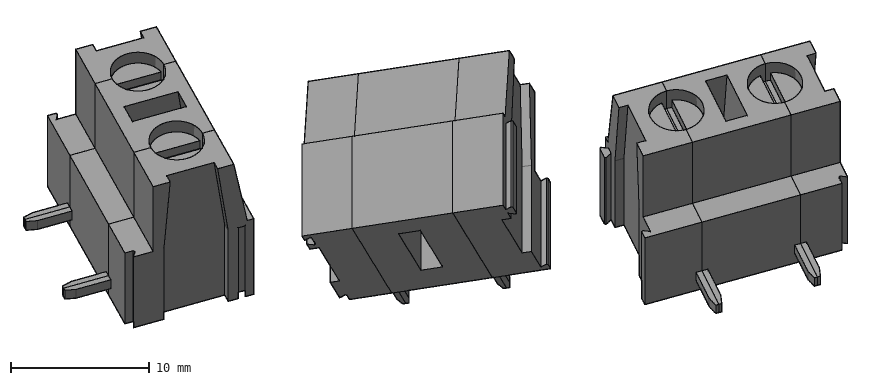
import cadquery as cq


POLE_COUNT = 2
PITCH = 7.62
ROW_LENGTH = POLE_COUNT * PITCH
POLE_CENTERS = [(index + 0.5) * PITCH for index in range(POLE_COUNT)]

DEPTH = 9.8
HEIGHT = 13.8
STEP_HEIGHT = 7.2
STEP_DEPTH = 1.96
LEDGE_HEIGHT = 7.7
LEDGE_DEPTH = 0.5
TOP_BACK_Y = 8.25

RECESS_DEPTH = 0.7
RECESS_BOTTOM_Y = (2.8, 7.81)
RECESS_TOP_Y = (3.3, 6.99)

LOCK_REACH = 0.6
LOCK_FLARE = 0.29
LOCK_CHAMFER_X = 0.11
LOCK_CHAMFER_Y = 0.08
TONGUE_CENTER_Y = 8.87
TONGUE_NECK_WIDTH = 0.52
HOOK_ROOT_Y = 0.45

SCREW_DIAMETER = 4.0
SCREW_CENTER_Y = 5.3
SCREW_SINK = 1.11
SLOT_WIDTH = 0.79
SLOT_DEPTH = SLOT_WIDTH

PASSAGE_WIDTH = 1.65
PASSAGE_MARGIN = 0.25

PIN_LENGTH = 3.5
PIN_SIZE = 0.9
PIN_BASE_HEIGHT = 1.06
PIN_TIP_WIDTH = 0.48
PIN_TIP_LENGTH = 0.79


def make_block():
    """Stepped block with a sloping back, extruded along the row of poles."""
    profile = [
        (0, 0),
        (DEPTH, 0),
        (DEPTH, LEDGE_HEIGHT),
        (DEPTH - LEDGE_DEPTH, LEDGE_HEIGHT),
        (TOP_BACK_Y, HEIGHT),
        (STEP_DEPTH, HEIGHT),
        (STEP_DEPTH, STEP_HEIGHT),
        (0, STEP_HEIGHT),
    ]
    return cq.Workplane("YZ").polyline(profile).close().extrude(ROW_LENGTH)


def make_tapered_slot(start_x, width, margin=0):
    """Full-height cutter that narrows above the step, larger than an end recess by margin at both Y ends."""
    bottom_front, bottom_back = RECESS_BOTTOM_Y
    top_front, top_back = RECESS_TOP_Y
    outline = [
        (bottom_front - margin, 0),
        (bottom_back + margin, 0),
        (bottom_back + margin, STEP_HEIGHT),
        (top_back + margin, HEIGHT),
        (top_front - margin, HEIGHT),
        (bottom_front - margin, STEP_HEIGHT),
    ]
    return cq.Workplane("YZ", origin=(start_x, 0, 0)).polyline(outline).close().extrude(width)


def flared_edge(root_x, root_y, side):
    """Points of a flank that flares from root_x toward -X and ends in a chamfer; side is +1 or -1 along Y."""
    outer_x = root_x - LOCK_REACH
    peak_y = root_y + side * LOCK_FLARE
    return [
        (root_x, root_y),
        (outer_x + LOCK_CHAMFER_X, peak_y),
        (outer_x, peak_y - side * LOCK_CHAMFER_Y),
    ]


def make_tongue(root_x):
    """Dovetail tongue that widens toward -X from its neck at root_x."""
    back_flank = flared_edge(root_x, TONGUE_CENTER_Y + TONGUE_NECK_WIDTH / 2, 1)
    front_flank = flared_edge(root_x, TONGUE_CENTER_Y - TONGUE_NECK_WIDTH / 2, -1)
    outline = back_flank + front_flank[::-1]
    return cq.Workplane("XY").polyline(outline).close().extrude(STEP_HEIGHT)


def make_hook(root_x):
    """Half-dovetail hook along the pin face, reaching toward -X from root_x."""
    outline = flared_edge(root_x, HOOK_ROOT_Y, 1) + [(root_x - LOCK_REACH, 0), (root_x, 0)]
    return cq.Workplane("XY").polyline(outline).close().extrude(STEP_HEIGHT)


def make_screw_well(center_x):
    """Cutter for a round well and the screwdriver slot in its floor."""
    floor_z = HEIGHT - SCREW_SINK
    axis_base = cq.Workplane("XY", origin=(center_x, SCREW_CENTER_Y, floor_z))
    well = axis_base.circle(SCREW_DIAMETER / 2).extrude(SCREW_SINK)
    slot_bar = axis_base.rect(SLOT_WIDTH, SCREW_DIAMETER).extrude(-SLOT_DEPTH)
    slot = axis_base.circle(SCREW_DIAMETER / 2).extrude(-SLOT_DEPTH).intersect(slot_bar)
    return well.union(slot)


def make_pin(center_x):
    """Square pin with a tip that tapers in width."""
    half_width = PIN_SIZE / 2
    half_tip = PIN_TIP_WIDTH / 2
    taper_start_y = PIN_TIP_LENGTH - PIN_LENGTH
    outline = [
        (-half_width, 0),
        (-half_width, taper_start_y),
        (-half_tip, -PIN_LENGTH),
        (half_tip, -PIN_LENGTH),
        (half_width, taper_start_y),
        (half_width, 0),
    ]
    return cq.Workplane("XY", origin=(center_x, 0, PIN_BASE_HEIGHT)).polyline(outline).close().extrude(PIN_SIZE)


def make_terminal_row():
    """Complete row, before it is divided into segments."""
    row = make_block()
    for start_x in (0, ROW_LENGTH - RECESS_DEPTH):
        row = row.cut(make_tapered_slot(start_x, RECESS_DEPTH))

    row = row.cut(make_tongue(ROW_LENGTH)).cut(make_hook(ROW_LENGTH))
    row = row.union(make_tongue(0)).union(make_hook(0))

    for center_x in POLE_CENTERS:
        row = row.cut(make_screw_well(center_x)).union(make_pin(center_x))
    for left_x, right_x in zip(POLE_CENTERS, POLE_CENTERS[1:]):
        passage_start_x = (left_x + right_x - PASSAGE_WIDTH) / 2
        row = row.cut(make_tapered_slot(passage_start_x, PASSAGE_WIDTH, PASSAGE_MARGIN))
    return row


def cut_segment(row, start_x, end_x):
    """Part of the row between two planes across X."""
    slab = (
        cq.Workplane("XY")
        .box(end_x - start_x, DEPTH + PIN_LENGTH, HEIGHT, centered=False)
        .translate((start_x, -PIN_LENGTH, 0))
    )
    return row.intersect(slab)


terminal_row = make_terminal_row()

left_end = cut_segment(terminal_row, -LOCK_REACH, POLE_CENTERS[0])
right_end = cut_segment(terminal_row, POLE_CENTERS[-1], ROW_LENGTH)

middle_segments = [
    cut_segment(terminal_row, left_x, right_x) for left_x, right_x in zip(POLE_CENTERS, POLE_CENTERS[1:])
]

result = cq.Compound.makeCompound(
    [left_end.val(), *[segment.val() for segment in middle_segments], right_end.val()]
)